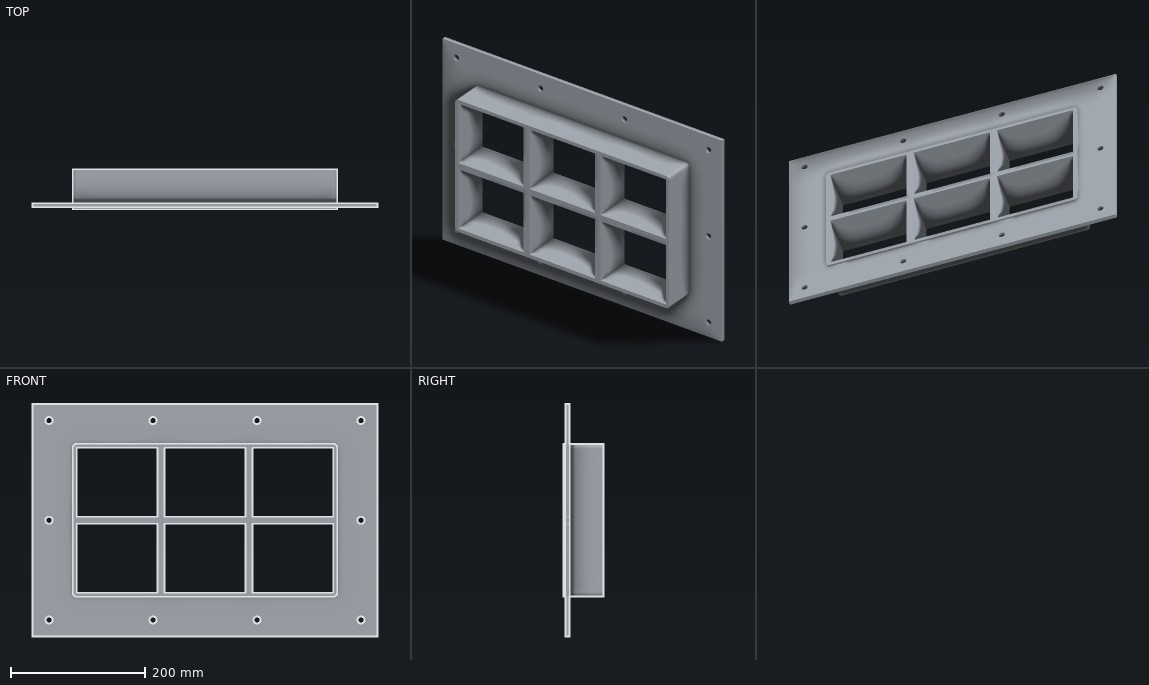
import cadquery as cq

plate_width = 513.5
plate_height = 346.0
plate_thickness = 6.0

frame_width = 394.0
frame_height = 227.5
frame_depth = 60.0
frame_corner_radius = 6.0
front_projection = 3.0
frame_wall = 6.0

columns = 3
rows = 2
bar_thickness = 11.0
opening_width = (frame_width - 2 * frame_wall - (columns - 1) * bar_thickness) / columns
opening_height = (frame_height - 2 * frame_wall - (rows - 1) * bar_thickness) / rows

hole_diameter = 10.5
hole_edge_distance = 24.5
holes_across = 4
holes_up = 3
hole_pitch_x = (plate_width - 2 * hole_edge_distance) / (holes_across - 1)
hole_pitch_z = (plate_height - 2 * hole_edge_distance) / (holes_up - 1)


def box_from(front_y, width, depth, height):
    """Box centred in X and Z, reaching from front_y towards +Y."""
    return cq.Workplane("XY").box(width, depth, height).translate((0, front_y + depth / 2, 0))


def mounting_hole_positions():
    """Hole centres on the perimeter of the hole grid."""
    positions = []
    for i in range(holes_across):
        for j in range(holes_up):
            if i in (0, holes_across - 1) or j in (0, holes_up - 1):
                x = (i - (holes_across - 1) / 2) * hole_pitch_x
                z = (j - (holes_up - 1) / 2) * hole_pitch_z
                positions.append((x, z))
    return positions


plate = box_from(front_projection, plate_width, plate_thickness, plate_height)
frame = box_from(0, frame_width, frame_depth, frame_height).edges("|Y").fillet(frame_corner_radius)

openings = (
    cq.Workplane("XZ")
    .rarray(opening_width + bar_thickness, opening_height + bar_thickness, columns, rows)
    .rect(opening_width, opening_height)
    .extrude(-frame_depth)
)
mounting_holes = (
    cq.Workplane("XZ")
    .pushPoints(mounting_hole_positions())
    .circle(hole_diameter / 2)
    .extrude(-frame_depth)
)

result = plate.union(frame).cut(openings).cut(mounting_holes)